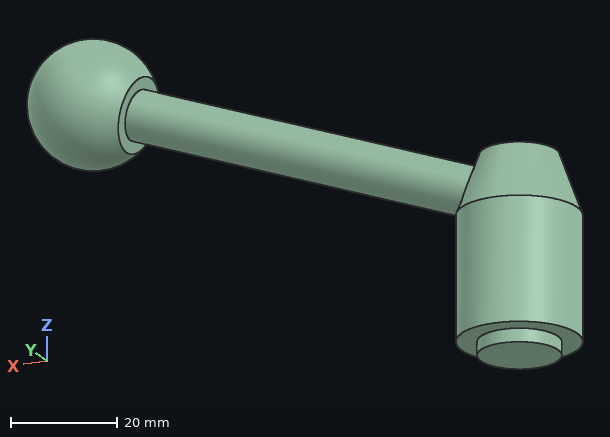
import cadquery as cq
import math

length = 112.7
height = 75.0

hub_diameter = 24.0
hub_top_diameter = 15.2
spigot_diameter = 16.0
spigot_height = 2.7
body_height = 25.1
taper_height = 12.2

arm_diameter = 10.0
arm_angle = 20.0
ball_diameter = 25.0
ball_flat_distance = 10.0

ball_radius = ball_diameter / 2
ball_x = length - hub_diameter / 2 - ball_radius
ball_z = height - ball_radius

arm_length = ball_x / math.cos(math.radians(arm_angle))
arm_start_z = ball_z - ball_x * math.tan(math.radians(arm_angle))
arm_direction = cq.Vector(math.cos(math.radians(arm_angle)), 0, math.sin(math.radians(arm_angle)))


def make_hub():
    """Revolve the stepped and tapered hub profile about Z."""
    body_top = spigot_height + body_height
    hub_top = body_top + taper_height
    profile = [
        (0, 0),
        (spigot_diameter / 2, 0),
        (spigot_diameter / 2, spigot_height),
        (hub_diameter / 2, spigot_height),
        (hub_diameter / 2, body_top),
        (hub_top_diameter / 2, hub_top),
        (0, hub_top),
    ]
    return cq.Workplane("XZ").polyline(profile).close().revolve(360, (0, 0), (0, 1))


def make_arm():
    """Round rod inclined in the XZ plane."""
    plane = cq.Plane(origin=(0, 0, arm_start_z), xDir=(0, 1, 0), normal=arm_direction)
    return cq.Workplane(plane).circle(arm_diameter / 2).extrude(arm_length)


def make_ball():
    """Ball with a flat square to the arm axis, revolved about that axis."""
    flat_radius = math.sqrt(ball_radius**2 - ball_flat_distance**2)
    plane = cq.Plane(origin=(ball_x, 0, ball_z), xDir=arm_direction, normal=(0, -1, 0))
    return (
        cq.Workplane(plane)
        .moveTo(-ball_flat_distance, 0)
        .lineTo(-ball_flat_distance, flat_radius)
        .threePointArc((0, ball_radius), (ball_radius, 0))
        .close()
        .revolve(360, (0, 0), (1, 0))
    )


result = make_hub().union(make_arm()).union(make_ball())